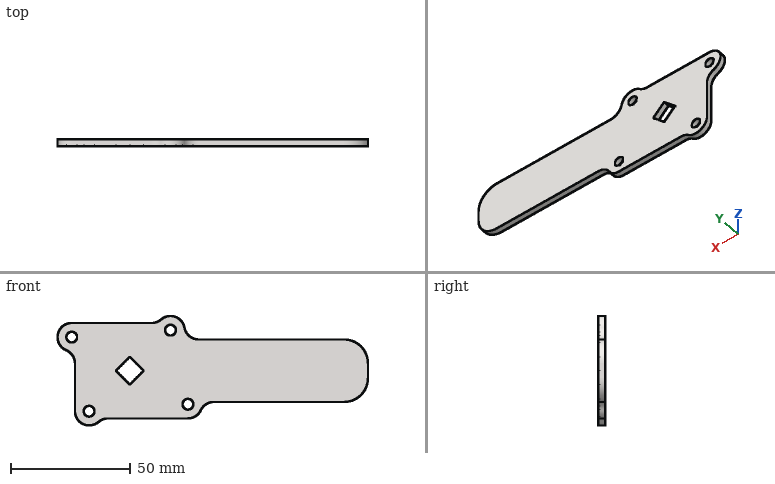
import cadquery as cq
import math

overall_length = 130.2
overall_height = 46.0
thickness = 3.0
lug_radius = 6.0
blend_radius = 6.0
screw_hole_diameter = 4.4
square_hole_side = 8.2
arm_half_width = 13.1
arm_corner_radius = 10.0
outer_lug_x = 24.3
outer_lug_z = 14.0
inner_lug_x = 17.0

inner_lug_z = overall_height / 2 - lug_radius
upper_left = (-outer_lug_x, outer_lug_z)
upper_right = (inner_lug_x, inner_lug_z)
lower_left = (-inner_lug_x, -inner_lug_z)
lower_right = (outer_lug_x, -outer_lug_z)
lug_centres = [upper_left, upper_right, lower_right, lower_left]

body_top = outer_lug_z + lug_radius
body_left = -inner_lug_x - lug_radius
arm_end = overall_length - outer_lug_x - lug_radius
arm_straight_end = arm_end - arm_corner_radius
arm_corner_z = arm_half_width - arm_corner_radius


def blend_offset(height):
    """Distance along a side from a lug centre to a blend centre lying `height` off that lug centre."""
    return math.sqrt((lug_radius + blend_radius) ** 2 - height**2)


def lug_tangent(lug, blend):
    """Point where a lug circle touches the concave blend circle centred at `blend`."""
    share = lug_radius / (lug_radius + blend_radius)
    return tuple(a + (b - a) * share for a, b in zip(lug, blend))


top_blend_z = body_top + blend_radius
top_blend = (inner_lug_x - blend_offset(top_blend_z - inner_lug_z), top_blend_z)
bottom_blend = (-top_blend[0], -top_blend[1])

arm_blend_z = arm_half_width + blend_radius
arm_top_blend = (inner_lug_x + blend_offset(arm_blend_z - inner_lug_z), arm_blend_z)
arm_bottom_blend = (outer_lug_x + blend_offset(arm_blend_z - outer_lug_z), -arm_blend_z)

left_blend_x = body_left - blend_radius
left_blend = (left_blend_x, outer_lug_z - blend_offset(left_blend_x + outer_lug_x))

outline = (
    cq.Workplane("XZ", origin=(0, thickness / 2, 0))
    .moveTo(upper_left[0], body_top)
    .lineTo(top_blend[0], body_top)
    .radiusArc(lug_tangent(upper_right, top_blend), -blend_radius)
    .radiusArc(lug_tangent(upper_right, arm_top_blend), lug_radius)
    .radiusArc((arm_top_blend[0], arm_half_width), -blend_radius)
    .lineTo(arm_straight_end, arm_half_width)
    .radiusArc((arm_end, arm_corner_z), arm_corner_radius)
    .lineTo(arm_end, -arm_corner_z)
    .radiusArc((arm_straight_end, -arm_half_width), arm_corner_radius)
    .lineTo(arm_bottom_blend[0], -arm_half_width)
    .radiusArc(lug_tangent(lower_right, arm_bottom_blend), -blend_radius)
    .radiusArc((lower_right[0], -body_top), lug_radius)
    .lineTo(bottom_blend[0], -body_top)
    .radiusArc(lug_tangent(lower_left, bottom_blend), -blend_radius)
    .radiusArc((body_left, lower_left[1]), lug_radius)
    .lineTo(body_left, left_blend[1])
    .radiusArc(lug_tangent(upper_left, left_blend), -blend_radius)
    .radiusArc((upper_left[0], body_top), lug_radius)
    .close()
)
plate = outline.extrude(thickness)

hole_plane = cq.Workplane("XZ", origin=(0, thickness / 2, 0))
screw_holes = hole_plane.pushPoints(lug_centres).circle(screw_hole_diameter / 2).extrude(thickness)
square_hole = (
    hole_plane.transformed(rotate=(0, 0, 45))
    .rect(square_hole_side, square_hole_side)
    .extrude(thickness)
)

result = plate.cut(screw_holes).cut(square_hole)